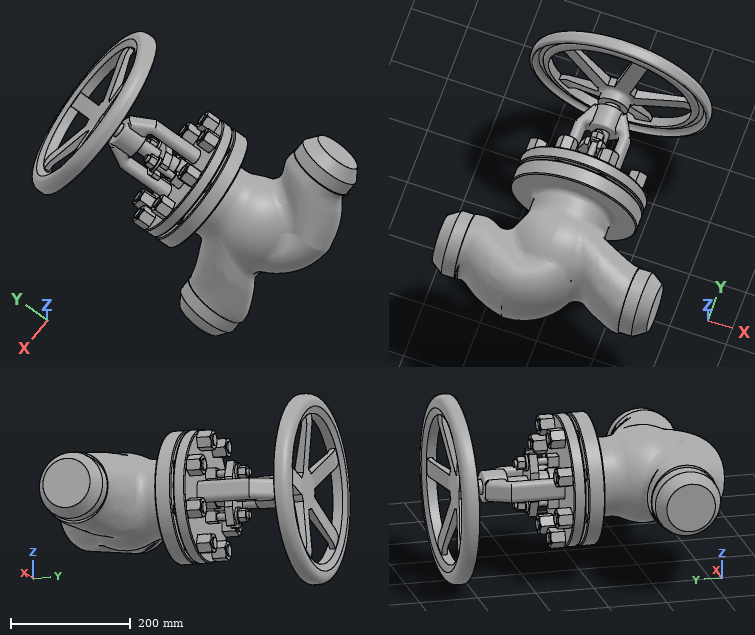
import cadquery as cq
import math


MATCH_TOLERANCE = 0.1
EDGE_SAMPLES = (0.3, 0.5, 0.7)

HALF_LENGTH = 190.05
PIPE_R = 56.25
BEVEL_R = 44.0
FACE_R = 41.8
FACE_CHAMFER = 4.0
BEVEL_END_X = 168.5
PIPE_INNER_X = 145.0
PIPE_OVERLAP = 4.7

INLET_SECTIONS = [
    (-PIPE_INNER_X, 0, 57.5, 60.5),
    (-128, 1.0, 58.0, 62.0),
    (-104.5, -12.0, 62.0, 65.0),
    (-49.5, -41.5, 51.5, 70.5),
]
OUTLET_SECTIONS = [
    (PIPE_INNER_X, 0, 57.5, 60.5),
    (121.0, 4.5, 58.5, 64.0),
    (90.5, 18.5, 58.0, 69.0),
    (77.0, 26.0, 56.5, 70.5),
    (28.5, 54.5, 57, 70.5),
]
ELBOW_AXIS_Y = 18.5
ELBOW_ANGLE = 90
INLET_BLEND_R = 19.0
OUTLET_BLEND_R = 19.0

CHAMBER_R = 82.0
CHAMBER_Y = 36.0
NECK_R = 67.0
NECK_WAIST_R = 46.5
NECK_ROOT_R = 10.5

FLANGE_R = 112.0
FLANGE_CHAMFER = 2.0
BODY_FLANGE_Y = (127.5, 156.0)
BONNET_FLANGE_Y = (160.5, 181.5)
GASKET_R = 81.5
BOLT_COUNT = 8
BOLT_CIRCLE_R = 95.0
BOLT_R = 10.0
BOLT_END_Y = 208.5
NUT_TOP_Y = 206.0
NUT_CORNER_D = 35.0
NUT_CHAMFER = 2.0

YOKE_TOP_Y = 313.0
YOKE_BRIDGE_Y = 272.5
YOKE_HALF_WIDTH = 50.0
YOKE_TOP_HALF_WIDTH = 28.5
YOKE_SHOULDER_Y = 273.5
YOKE_ARM_W = 20.0
YOKE_THICKNESS = 36.5
YOKE_ROUND = 9.5
YOKE_WINDOW_R = 4.7
COLLAR_R = 27.3
COLLAR_ROUND = 3.0

STEM_R = 13.0
STUFFING_R = 22.0
STUFFING_TOP_Y = 200.5
GLAND_R = 19.0
GLAND_PLATE_Y = (220.5, 235.0)
GLAND_HALF_X = 25.5
GLAND_HALF_Z = 55.0
GLAND_END_HALF_X = 14.5
GLAND_SHOULDER_Z = 25.5
GLAND_SLOT_W = 15.0
GLAND_STUD_Z = 36.5
GLAND_STUD_R = 6.4
GLAND_STUD_TOP_Y = 257.5
GLAND_WASHER_R = 14.0
GLAND_WASHER_TOP_Y = 239.0
GLAND_NUT_D = 23.3
GLAND_NUT_TOP_Y = 252.5
STUD_LUG_W = 18.0

WHEEL_R = 160.0
WHEEL_TOP_Y = 381.5
WHEEL_BOTTOM_Y = 355.0
RIM_TOP_ROUND = 13.8
RIM_BOTTOM_ROUND = 4.0
GROOVE_OUTER_R = 154.0
GROOVE_FLOOR_R = (146.0, 138.0)
GROOVE_INNER_R = 131.0
GROOVE_FLOOR_Y = 365.5
GROOVE_OUTER_ROUND = 11.5
GROOVE_INNER_ROUND = 7.5
RIM_INNER_R = 126.0
RIM_INNER_BOTTOM_Y = 358.5
RIM_INNER_TOP_Y = 376.0
SPOKE_COUNT = 5
SPOKE_W = 28.5
SPOKE_HUB_Y = (344.0, 360.0)
SPOKE_KINK_R = 111.0
SPOKE_RIM_Y = (365.5, 375.0)
HUB_BOTTOM_Y = 323.5
HUB_R = 26.5
HUB_STRAIGHT_Y = 337.0
HUB_TOP_R = 33.5


def cylinder_y(radius, bottom, top):
    return cq.Workplane("XZ", origin=(0, bottom, 0)).circle(radius).extrude(bottom - top)


def hex_y(corner_diameter, bottom, top):
    return cq.Workplane("XZ", origin=(0, bottom, 0)).polygon(6, corner_diameter).extrude(bottom - top)


def around_y(item, angle):
    return item.rotate((0, 0, 0), (0, 1, 0), angle)


def revolve_y(profile):
    return profile.close().revolve(360, (0, 0, 0), (0, 1, 0))


def passage(sections):
    """Smooth tube through oval sections that all lie across X."""
    tube = cq.Workplane("YZ")
    last_x = 0
    for x, centre_y, half_y, half_z in sections:
        tube = tube.workplane(offset=x - last_x).center(centre_y, 0)
        tube = tube.ellipse(half_y, half_z).center(-centre_y, 0)
        last_x = x
    return tube.loft(ruled=False, combine=True)


def inlet_elbow():
    """Oval bend that turns the inlet up into the chamber."""
    x, centre_y, half_y, half_z = INLET_SECTIONS[-1]
    section = cq.Workplane("YZ", origin=(x, centre_y, 0)).ellipse(half_y, half_z)
    axis_y = ELBOW_AXIS_Y - centre_y
    return section.revolve(ELBOW_ANGLE, (axis_y, 0, 0), (axis_y, 1, 0))


def chamber():
    """Ball-shaped chamber with a waisted neck, tangent to both."""
    rise = math.sqrt((CHAMBER_R + NECK_WAIST_R) ** 2 - (NECK_R + NECK_WAIST_R) ** 2)
    waist_y = CHAMBER_Y + rise
    waist_x = NECK_R + NECK_WAIST_R
    share = CHAMBER_R / (CHAMBER_R + NECK_WAIST_R)
    tangent = (waist_x * share, CHAMBER_Y + rise * share)
    half_angle = math.atan2(rise, waist_x) / 2
    waist_mid = (
        waist_x - NECK_WAIST_R * math.cos(half_angle),
        waist_y - NECK_WAIST_R * math.sin(half_angle),
    )
    flange_y = BODY_FLANGE_Y[0]
    profile = (
        cq.Workplane("XY")
        .moveTo(0, CHAMBER_Y - CHAMBER_R)
        .threePointArc((CHAMBER_R, CHAMBER_Y), tangent)
        .threePointArc(waist_mid, (NECK_R, waist_y))
        .lineTo(NECK_R, flange_y - NECK_ROOT_R)
        .radiusArc((NECK_R + NECK_ROOT_R, flange_y), NECK_ROOT_R)
        .lineTo(0, flange_y)
    )
    return around_y(revolve_y(profile), -90)


def blend(base, branch, radius):
    """Join a branch to the base and round the edges where their surfaces meet."""
    joined = base.union(branch, clean=False)
    skins = [base.val().Shells()[0], branch.val().Shells()[0]]

    def on_both_skins(edge):
        points = [cq.Vertex.makeVertex(*edge.positionAt(place).toTuple()) for place in EDGE_SAMPLES]
        return all(point.distance(skin) < MATCH_TOLERANCE for point in points for skin in skins)

    meeting_edges = [edge for edge in joined.edges().vals() if on_both_skins(edge)]
    return joined.newObject([joined.val().fillet(radius, meeting_edges)])


def pipe_end(side):
    """Bevelled welding end, pushed a little into the passage behind it."""
    inner_x = PIPE_INNER_X - PIPE_OVERLAP
    profile = (
        cq.Workplane("XY")
        .moveTo(side * inner_x, 0)
        .lineTo(side * inner_x, PIPE_R)
        .lineTo(side * BEVEL_END_X, PIPE_R)
        .lineTo(side * (HALF_LENGTH - FACE_CHAMFER), BEVEL_R)
        .lineTo(side * HALF_LENGTH, FACE_R)
        .lineTo(side * HALF_LENGTH, 0)
        .close()
    )
    return profile.revolve(360, (0, 0, 0), (1, 0, 0))


def body():
    inlet = passage(INLET_SECTIONS).union(inlet_elbow(), clean=False)
    shell = blend(chamber(), inlet, INLET_BLEND_R)
    shell = blend(shell, passage(OUTLET_SECTIONS), OUTLET_BLEND_R)
    for side in (-1, 1):
        shell = shell.union(pipe_end(side), clean=False)
    return shell


def flange(bottom, top):
    return cylinder_y(FLANGE_R, bottom, top).faces("|Y").edges().chamfer(FLANGE_CHAMFER)


def flange_bolt():
    """Stud with a hexagon nut whose top corners are bevelled."""
    nut = hex_y(NUT_CORNER_D, BONNET_FLANGE_Y[1], NUT_TOP_Y)
    crown = cylinder_y(NUT_CORNER_D / 2, BONNET_FLANGE_Y[1], NUT_TOP_Y).faces(">Y").chamfer(NUT_CHAMFER)
    stud = cylinder_y(BOLT_R, BODY_FLANGE_Y[1], BOLT_END_Y)
    return nut.intersect(crown).union(stud).translate((BOLT_CIRCLE_R, 0, 0))


def flanges():
    joint = flange(*BODY_FLANGE_Y).union(flange(*BONNET_FLANGE_Y))
    joint = joint.union(cylinder_y(GASKET_R, BODY_FLANGE_Y[1], BONNET_FLANGE_Y[0]))
    pitch = 360 / BOLT_COUNT
    for index in range(BOLT_COUNT):
        joint = joint.union(around_y(flange_bolt(), (index + 0.5) * pitch))
    return joint


def yoke():
    """Two round-edged arms leaning in to a collar around the stem."""
    foot_y = BONNET_FLANGE_Y[1]
    outline = [
        (-YOKE_HALF_WIDTH, foot_y),
        (-YOKE_HALF_WIDTH, YOKE_SHOULDER_Y),
        (-YOKE_TOP_HALF_WIDTH, YOKE_TOP_Y),
        (YOKE_TOP_HALF_WIDTH, YOKE_TOP_Y),
        (YOKE_HALF_WIDTH, YOKE_SHOULDER_Y),
        (YOKE_HALF_WIDTH, foot_y),
    ]
    half_depth = YOKE_THICKNESS / 2
    frame = cq.Workplane("XY").polyline(outline).close().extrude(half_depth, both=True)
    frame = frame.faces("|Z").edges("not <Y").fillet(YOKE_ROUND)

    window_half_width = YOKE_HALF_WIDTH - YOKE_ARM_W
    window_height = YOKE_BRIDGE_Y - foot_y
    window = cq.Workplane("XY").box(2 * window_half_width, window_height, 2 * YOKE_THICKNESS)
    window = window.edges("|Z and >Y").fillet(YOKE_WINDOW_R)
    frame = frame.cut(window.translate((0, foot_y + window_height / 2, 0)))
    window_edges = cq.selectors.BoxSelector(
        (-window_half_width - MATCH_TOLERANCE, foot_y + MATCH_TOLERANCE, -YOKE_THICKNESS),
        (window_half_width + MATCH_TOLERANCE, YOKE_BRIDGE_Y + MATCH_TOLERANCE, YOKE_THICKNESS),
    )
    frame = frame.faces("|Z").edges(window_edges).fillet(YOKE_ROUND)

    collar = cylinder_y(COLLAR_R, YOKE_BRIDGE_Y, YOKE_TOP_Y).faces("|Y").edges().fillet(COLLAR_ROUND)
    return frame.union(collar)


def gland_bolt():
    foot_y = BONNET_FLANGE_Y[1]
    stud = cylinder_y(GLAND_STUD_R, foot_y, GLAND_STUD_TOP_Y)
    washer = cylinder_y(GLAND_WASHER_R, GLAND_PLATE_Y[1], GLAND_WASHER_TOP_Y)
    nut = around_y(hex_y(GLAND_NUT_D, GLAND_WASHER_TOP_Y, GLAND_NUT_TOP_Y), 90)
    lug_height = STUFFING_TOP_Y - foot_y
    lug = cq.Workplane("XY").box(STUD_LUG_W, lug_height, STUD_LUG_W)
    lug = lug.translate((0, foot_y + lug_height / 2, 0))
    return stud.union(washer).union(nut).union(lug).translate((0, 0, GLAND_STUD_Z))


def gland():
    """Slotted packing plate on its follower, held down by two bolts."""
    bottom, top = GLAND_PLATE_Y
    corners = [
        (GLAND_HALF_X, -GLAND_SHOULDER_Z),
        (GLAND_HALF_X, GLAND_SHOULDER_Z),
        (GLAND_END_HALF_X, GLAND_HALF_Z),
        (-GLAND_END_HALF_X, GLAND_HALF_Z),
        (-GLAND_HALF_X, GLAND_SHOULDER_Z),
        (-GLAND_HALF_X, -GLAND_SHOULDER_Z),
        (-GLAND_END_HALF_X, -GLAND_HALF_Z),
        (GLAND_END_HALF_X, -GLAND_HALF_Z),
    ]
    plate = cq.Workplane("XZ", origin=(0, bottom, 0)).polyline(corners).close().extrude(bottom - top)
    slot_depth = GLAND_HALF_Z - GLAND_STUD_Z + GLAND_SLOT_W / 2
    slot_z = GLAND_HALF_Z - slot_depth / 2
    for side in (-1, 1):
        slot = cq.Workplane("XY").box(GLAND_SLOT_W, 2 * (top - bottom), slot_depth)
        plate = plate.cut(slot.translate((0, (bottom + top) / 2, side * slot_z)))
    follower = cylinder_y(GLAND_R, STUFFING_TOP_Y, bottom)
    stuffing_box = cylinder_y(STUFFING_R, BONNET_FLANGE_Y[1], STUFFING_TOP_Y)
    bolt = gland_bolt()
    return plate.union(follower).union(stuffing_box).union(bolt).union(around_y(bolt, 180))


def wheel_rim():
    """Rim with a rounded groove in the face that looks towards the flanges."""
    top_step = WHEEL_R - RIM_TOP_ROUND
    floor_outer, floor_inner = GROOVE_FLOOR_R
    profile = (
        cq.Workplane("XY")
        .moveTo(RIM_INNER_R, RIM_INNER_BOTTOM_Y)
        .lineTo(GROOVE_INNER_R, RIM_INNER_BOTTOM_Y)
        .radiusArc((floor_inner, GROOVE_FLOOR_Y), -GROOVE_INNER_ROUND)
        .lineTo(floor_outer, GROOVE_FLOOR_Y)
        .radiusArc((GROOVE_OUTER_R, WHEEL_BOTTOM_Y), GROOVE_OUTER_ROUND)
        .lineTo(WHEEL_R - RIM_BOTTOM_ROUND, WHEEL_BOTTOM_Y)
        .radiusArc((WHEEL_R, WHEEL_BOTTOM_Y + RIM_BOTTOM_ROUND), -RIM_BOTTOM_ROUND)
        .lineTo(WHEEL_R, WHEEL_TOP_Y - RIM_TOP_ROUND)
        .radiusArc((top_step, WHEEL_TOP_Y), -RIM_TOP_ROUND)
        .lineTo(floor_inner, WHEEL_TOP_Y)
        .lineTo(RIM_INNER_R, RIM_INNER_TOP_Y)
    )
    return revolve_y(profile)


def wheel_spoke():
    rim_r = (RIM_INNER_R + GROOVE_INNER_R) / 2
    side = (
        cq.Workplane("XY", origin=(0, 0, -SPOKE_W / 2))
        .moveTo(0, SPOKE_HUB_Y[0])
        .lineTo(HUB_TOP_R, SPOKE_HUB_Y[0])
        .lineTo(SPOKE_KINK_R, SPOKE_RIM_Y[0])
        .lineTo(rim_r, SPOKE_RIM_Y[0])
        .lineTo(rim_r, SPOKE_RIM_Y[1])
        .lineTo(SPOKE_KINK_R, SPOKE_RIM_Y[1])
        .lineTo(HUB_TOP_R, SPOKE_HUB_Y[1])
        .lineTo(0, SPOKE_HUB_Y[1])
        .close()
    )
    return side.extrude(SPOKE_W)


def wheel_hub():
    flare = HUB_TOP_R - HUB_R
    profile = (
        cq.Workplane("XY")
        .moveTo(0, HUB_BOTTOM_Y)
        .lineTo(HUB_R, HUB_BOTTOM_Y)
        .lineTo(HUB_R, HUB_STRAIGHT_Y)
        .radiusArc((HUB_TOP_R, HUB_STRAIGHT_Y + flare), flare)
        .lineTo(HUB_TOP_R, SPOKE_HUB_Y[1])
        .lineTo(0, SPOKE_HUB_Y[1])
    )
    return revolve_y(profile)


def hand_wheel():
    wheel = wheel_rim().union(wheel_hub())
    for index in range(SPOKE_COUNT):
        wheel = wheel.union(around_y(wheel_spoke(), index * 360 / SPOKE_COUNT))
    return wheel


stem = cylinder_y(STEM_R, BONNET_FLANGE_Y[1], HUB_BOTTOM_Y)
result = body()
for part in (flanges(), yoke(), gland(), stem, hand_wheel()):
    result = result.union(part, clean=False)